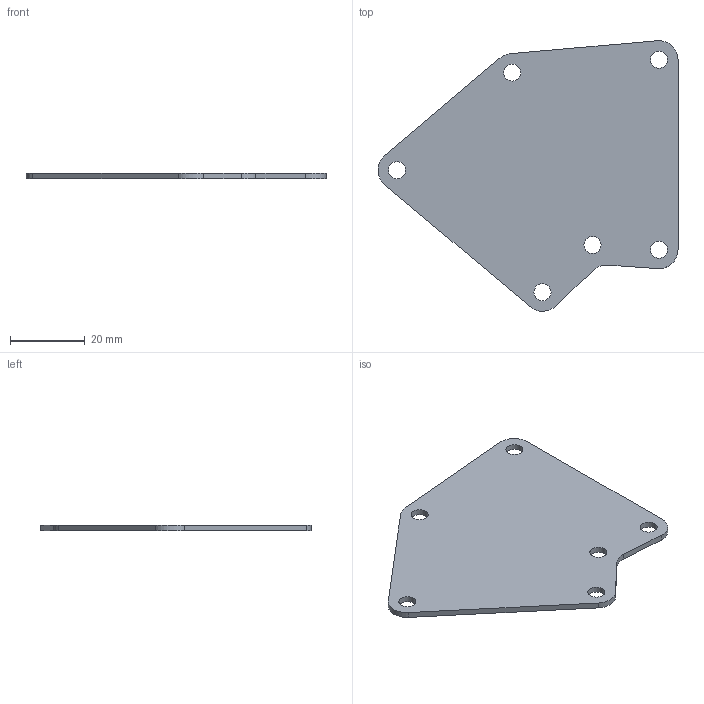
import cadquery as cq

thickness = 1.59
hole_diameter = 4.57
edge_margin = 5.08
inner_corner_radius = 5.08

lower_right = (0.0, 0.0)
upper_right = (0.0, 50.80)
upper_left = (-39.25, 47.35)
far_left = (-70.05, 21.24)
bottom = (-31.16, -11.40)
inner = (-17.77, 1.25)

hole_centres = [lower_right, upper_right, upper_left, far_left, bottom, inner]


def make_plate():
    """Flat plate whose outline keeps a constant margin around the hole polygon."""
    plate = (
        cq.Workplane("XY")
        .polyline(hole_centres)
        .close()
        .offset2D(edge_margin, "arc")
        .extrude(thickness)
    )
    inner_corner = cq.selectors.NearestToPointSelector((inner[0], inner[1] - edge_margin, thickness / 2))
    return plate.edges("|Z").edges(inner_corner).fillet(inner_corner_radius)


def drill_holes(plate):
    """Round through holes at every hole centre."""
    drills = (
        cq.Workplane("XY")
        .pushPoints(hole_centres)
        .circle(hole_diameter / 2)
        .extrude(thickness)
    )
    return plate.cut(drills)


result = drill_holes(make_plate())